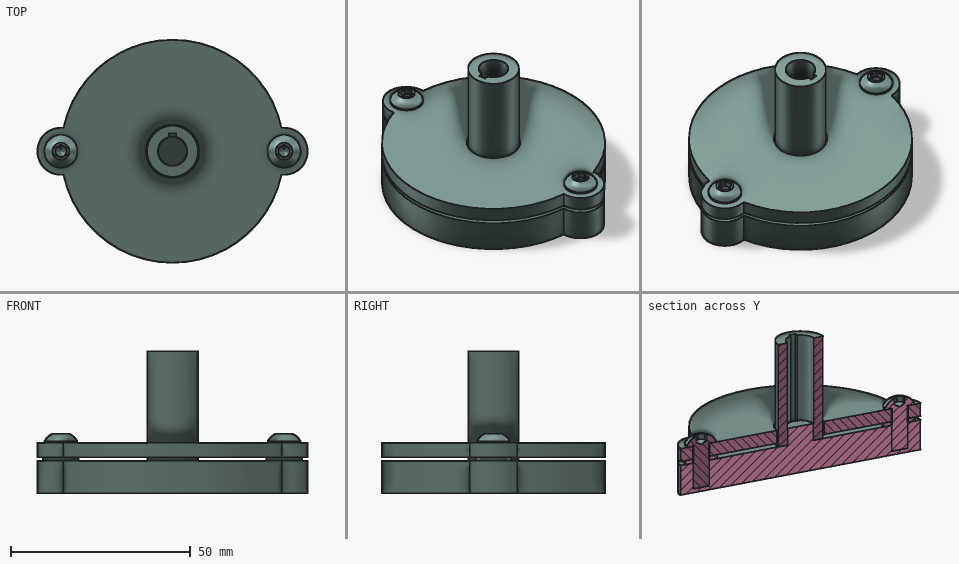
import cadquery as cq
import math

disc_diameter = 62.0
ear_wall = 4.0
screw_clearance_diameter = 5.11
ear_diameter = screw_clearance_diameter + 2 * ear_wall
screw_spacing = disc_diameter
screw_positions = [(-screw_spacing / 2, 0), (screw_spacing / 2, 0)]

base_height = 9.0
washer_thickness = 1.0
lid_thickness = 4.0
total_height = 39.5
lid_bottom_z = base_height + washer_thickness
lid_top_z = lid_bottom_z + lid_thickness

washer_diameter = 10.0

spigot_diameter = 8.0
spigot_height = washer_thickness + lid_thickness

shaft_diameter = 14.17
shaft_bore_diameter = 8.15
shaft_hole_diameter = 14.77
keyway_width = 2.0
keyway_reach = 5.0

screw_diameter = 4.83
screw_length = 12.7
head_diameter = 9.17
head_height = 2.565
head_rim_height = 0.45
head_top_diameter = 4.7
head_bulge = 0.28
socket_sides = 6
socket_across_flats = 3.175
socket_depth = 1.6
socket_cone_depth = 0.9


def eared_plate(bottom_z, thickness):
    """Disc with a straight-sided, round-ended bar across it that forms the two ears."""
    plate = cq.Workplane("XY").workplane(offset=bottom_z)
    disc = plate.circle(disc_diameter / 2).extrude(thickness)
    ears = plate.slot2D(screw_spacing + ear_diameter, ear_diameter).extrude(thickness)
    return disc.union(ears)


def make_base():
    """Base with a central spigot and a blind hole in each ear that fits the screw end."""
    spigot = (
        cq.Workplane("XY")
        .workplane(offset=base_height)
        .circle(spigot_diameter / 2)
        .extrude(spigot_height)
    )
    hole_depth = screw_length - lid_thickness - washer_thickness
    holes = (
        cq.Workplane("XY")
        .workplane(offset=base_height - hole_depth)
        .pushPoints(screw_positions)
        .circle(screw_diameter / 2)
        .extrude(hole_depth)
    )
    return eared_plate(0, base_height).union(spigot).cut(holes)


def make_lid():
    """Lid with a clearance hole for the shaft and one for each screw."""
    holes = (
        cq.Workplane("XY")
        .workplane(offset=lid_bottom_z)
        .circle(shaft_hole_diameter / 2)
        .pushPoints(screw_positions)
        .circle(screw_clearance_diameter / 2)
        .extrude(lid_thickness)
    )
    return eared_plate(lid_bottom_z, lid_thickness).cut(holes)


def make_shaft():
    """Tube standing on the base around the spigot, with a keyway along its whole bore."""
    tube = (
        cq.Workplane("XY")
        .workplane(offset=base_height)
        .circle(shaft_diameter / 2)
        .circle(shaft_bore_diameter / 2)
        .extrude(total_height - base_height)
    )
    keyway = (
        cq.Workplane("XY")
        .workplane(offset=base_height)
        .center(0, keyway_reach / 2)
        .rect(keyway_width, keyway_reach)
        .extrude(total_height - base_height)
    )
    return tube.cut(keyway)


def make_washer(position):
    """Plain washer that spaces the lid from the base."""
    return (
        cq.Workplane("XY")
        .workplane(offset=base_height)
        .center(*position)
        .circle(washer_diameter / 2)
        .circle(screw_clearance_diameter / 2)
        .extrude(washer_thickness)
    )


def make_socket():
    """Hexagonal socket with a conical bottom, corners pointing along Y, top face at head height."""
    hexagon = (
        cq.Workplane("XY")
        .workplane(offset=head_height - socket_depth)
        .polygon(socket_sides, socket_across_flats / math.cos(math.pi / socket_sides))
        .extrude(socket_depth)
        .rotate((0, 0, 0), (0, 0, 1), 180 / socket_sides)
    )
    cone = cq.Workplane(
        cq.Solid.makeCone(
            0,
            socket_across_flats / 2,
            socket_cone_depth,
            pnt=cq.Vector(0, 0, head_height - socket_depth - socket_cone_depth),
        )
    )
    return hexagon.union(cone)


def make_screw(position):
    """Button head screw whose head rests on the lid."""
    head_radius = head_diameter / 2
    top_radius = head_top_diameter / 2
    dome_height = head_height - head_rim_height
    dome_width = head_radius - top_radius
    chord = math.hypot(dome_width, dome_height)
    dome_middle = (
        (head_radius + top_radius) / 2 + head_bulge * dome_height / chord,
        (head_rim_height + head_height) / 2 + head_bulge * dome_width / chord,
    )
    body = (
        cq.Workplane("XZ")
        .moveTo(0, -screw_length)
        .lineTo(screw_diameter / 2, -screw_length)
        .lineTo(screw_diameter / 2, 0)
        .lineTo(head_radius, 0)
        .lineTo(head_radius, head_rim_height)
        .threePointArc(dome_middle, (top_radius, head_height))
        .lineTo(0, head_height)
        .close()
        .revolve(360, (0, 0, 0), (0, 1, 0))
    )
    x, y = position
    return body.cut(make_socket()).translate((x, y, lid_top_z))


base = make_base()
lid = make_lid()
shaft = make_shaft()
washers = [make_washer(position) for position in screw_positions]
screws = [make_screw(position) for position in screw_positions]

result = cq.Compound.makeCompound(
    [
        base.val(),
        lid.val(),
        shaft.val(),
        *[washer.val() for washer in washers],
        *[screw.val() for screw in screws],
    ]
)